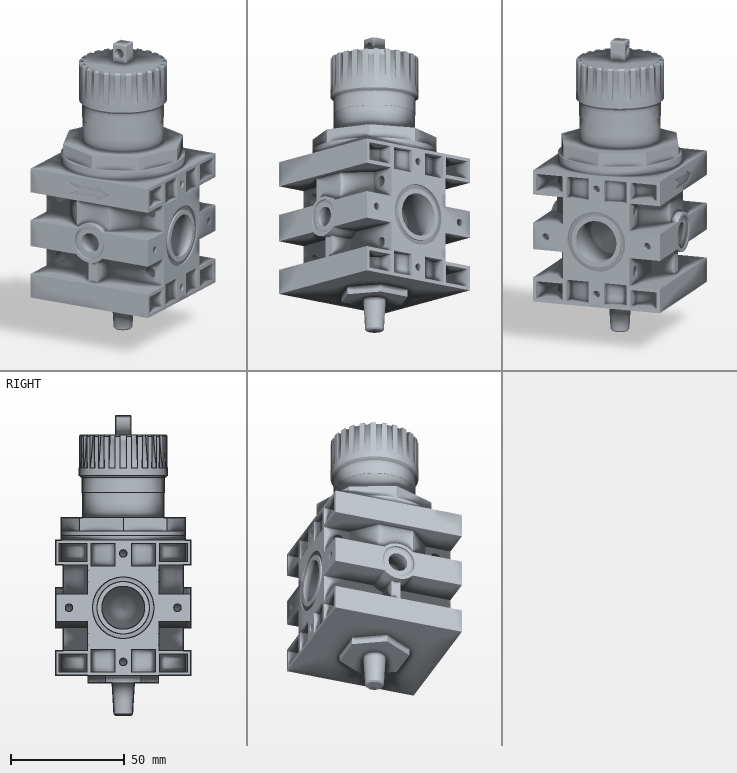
import cadquery as cq
import math

housing_size = 60.0
housing_bottom = 17.6
plate_thickness = 11.0
middle_plate_thickness = 12.1
web_width = 31.4
recessed_half_width = 26.7
hub_face_width = 16.3
hub_base_width = 36.2
fin_thickness = 4.4
core_diameter = 55.0
collar_height = 2.0

gauge_boss_diameter = 17.9
gauge_seat_diameter = 15.0
gauge_hole_diameter = 8.8
gauge_hole_depth = 10.6
main_port_diameter = 19.0
main_port_depth = 18.5
seal_groove_outer = 27.2
seal_groove_inner = 23.2
seat_depth = 0.9
drill_point_angle = 118

screw_hole_diameter = 3.3
screw_hole_depth = 5.3
screw_offset = 24.0
mounting_hole_diameter = 5.0
mounting_offset_x = 23.0
mounting_offset_z = 13.9

pocket_wall = 1.5
corner_pocket_width = 12.5
corner_pocket_height = 8.0
inner_pocket_width = 10.5
inner_pocket_height = 10.0
inner_pocket_start = 3.7
pocket_back_wall = 2.7

arrow_tail_x = -11.4
arrow_notch_x = -5.8
arrow_neck_x = 4.1
arrow_tip_x = 10.3
arrow_tail_half = 2.8
arrow_neck_half = 2.0
arrow_head_half = 3.2
arrow_depth = 0.4
arrow_drop = 0.5

nut_sides = 8
nut_height = 6.0
nut_flange_height = 2.0

bonnet_diameter = 36.1
bonnet_top = 98.5

knob_diameter = 39.0
skirt_diameter = 36.5
skirt_height = 6.6
knob_chamfer_height = 1.0
knob_top = 124.1
knob_edge_chamfer = 0.7
flute_count = 24
flute_width = 2.8
flute_bottom = 109.4
flute_top_radius = 17.4
flute_bottom_radius = 19.2
flute_overrun = 2.7

tang_width = 6.9
tang_top = 132.6
tang_fillet = 0.5
tang_hole_diameter = 4.5

plug_sides = 6
plug_across_flats = 27.0
plug_height = 3.3
nozzle_top_diameter = 10.0
nozzle_end_diameter = 8.4
nozzle_chamfer = 0.7

half_size = housing_size / 2
housing_top = housing_bottom + housing_size
port_z = housing_bottom + half_size
gap_height = (housing_size - 2 * plate_thickness - middle_plate_thickness) / 2
upper_gap_bottom = port_z + middle_plate_thickness / 2
lower_gap_bottom = housing_bottom + plate_thickness
collar_top = housing_top + collar_height
flange_top = collar_top + nut_flange_height
nut_top = flange_top + nut_height


def drilled_hole(diameter, depth):
    """Blind drill shape along +X from the origin, with a conical point."""
    radius = diameter / 2
    point_length = radius / math.tan(math.radians(drill_point_angle / 2))
    return (
        cq.Workplane("XY")
        .polyline([(0, 0), (0, radius), (depth, radius), (depth + point_length, 0)])
        .close()
        .revolve(360, (0, 0, 0), (1, 0, 0))
    )


def turned_copies(shape, angles):
    """Copies of a shape turned about the Z axis."""
    return [shape.rotate((0, 0, 0), (0, 0, 1), angle) for angle in angles]


def square_plate(bottom, height):
    return (
        cq.Workplane("XY")
        .workplane(offset=bottom)
        .rect(housing_size, housing_size)
        .extrude(height)
    )


def housing_blank():
    web = (
        cq.Workplane("XY")
        .workplane(offset=housing_bottom)
        .rect(housing_size, web_width)
        .extrude(housing_size)
    )
    collar = (
        cq.Workplane("XY")
        .workplane(offset=housing_top)
        .circle(core_diameter / 2)
        .extrude(collar_height)
    )
    blank = web.union(square_plate(housing_bottom, plate_thickness))
    blank = blank.union(square_plate(port_z - middle_plate_thickness / 2, middle_plate_thickness))
    blank = blank.union(square_plate(housing_top - plate_thickness, plate_thickness))
    return blank.union(collar)


def hub():
    """Eight-sided block filling the upper gap, sloping back to the web at its ends."""
    face = hub_face_width / 2
    base = hub_base_width / 2
    web = web_width / 2
    reach = recessed_half_width
    outline = [
        (-base, -web), (-face, -reach), (face, -reach), (base, -web),
        (base, web), (face, reach), (-face, reach), (-base, web),
    ]
    return (
        cq.Workplane("XY")
        .workplane(offset=upper_gap_bottom)
        .polyline(outline)
        .close()
        .extrude(gap_height)
    )


def fin():
    return (
        cq.Workplane("XY")
        .workplane(offset=lower_gap_bottom)
        .rect(fin_thickness, 2 * recessed_half_width)
        .extrude(gap_height)
    )


def gauge_bosses():
    return (
        cq.Workplane("XZ")
        .center(0, port_z)
        .circle(gauge_boss_diameter / 2)
        .extrude(half_size, both=True)
    )


def gauge_port():
    """Cutter for a gauge port entering the -X side, with a shallow seat."""
    seat = cq.Workplane("YZ").circle(gauge_seat_diameter / 2).extrude(seat_depth)
    hole = drilled_hole(gauge_hole_diameter, gauge_hole_depth)
    return seat.union(hole).translate((-half_size, 0, port_z))


def main_port():
    """Cutter for a main port entering the -X side, with a ring groove around it."""
    groove = (
        cq.Workplane("YZ")
        .circle(seal_groove_outer / 2)
        .circle(seal_groove_inner / 2)
        .extrude(seat_depth)
    )
    hole = drilled_hole(main_port_diameter, main_port_depth)
    return groove.union(hole).translate((-half_size, 0, port_z))


def screw_holes():
    """Cutters for the four blind screw holes around the main port on the -X side."""
    hole = drilled_hole(screw_hole_diameter, screw_hole_depth)
    places = [(screw_offset, 0), (-screw_offset, 0), (0, screw_offset), (0, -screw_offset)]
    return [hole.translate((-half_size, y, port_z + dz)) for y, dz in places]


def pocket(start_y, width, bottom, height):
    """Pocket in the -X side that leaves the round core and a thin wall at X = 0."""
    depth = half_size - pocket_back_wall / 2
    hollow = cq.Workplane("XY").box(depth, width, height, centered=False)
    hollow = hollow.translate((-half_size, start_y, bottom))
    core = cq.Workplane("XY").circle(core_diameter / 2).extrude(housing_top)
    return hollow.cut(core)


def pockets():
    """Cutters for the eight pockets of the -X side."""
    corner_start = half_size - pocket_wall - corner_pocket_width
    kinds = [
        (corner_start, corner_pocket_width, corner_pocket_height),
        (inner_pocket_start, inner_pocket_width, inner_pocket_height),
    ]
    cutters = []
    for start, width, height in kinds:
        upper_bottom = housing_top - pocket_wall - height
        lower_bottom = housing_bottom + pocket_wall
        for bottom in (upper_bottom, lower_bottom):
            for start_y in (start, -start - width):
                cutters.append(pocket(start_y, width, bottom, height))
    return cutters


def mounting_holes():
    places = [
        (x, port_z + dz)
        for x in (-mounting_offset_x, mounting_offset_x)
        for dz in (-mounting_offset_z, mounting_offset_z)
    ]
    return (
        cq.Workplane("XZ")
        .pushPoints(places)
        .circle(mounting_hole_diameter / 2)
        .extrude(half_size, both=True)
    )


def flow_arrow():
    """Cutter for the arrow sunk into the -Y edge of the top plate."""
    outline = [
        (arrow_tail_x, arrow_tail_half), (arrow_neck_x, arrow_neck_half),
        (arrow_neck_x, arrow_head_half), (arrow_tip_x, 0),
        (arrow_neck_x, -arrow_head_half), (arrow_neck_x, -arrow_neck_half),
        (arrow_tail_x, -arrow_tail_half), (arrow_notch_x, 0),
    ]
    arrow_z = housing_top - plate_thickness / 2 - arrow_drop
    return (
        cq.Workplane("XZ", origin=(0, -half_size, arrow_z))
        .polyline(outline)
        .close()
        .extrude(-arrow_depth)
    )


def make_housing():
    body = housing_blank().union(hub()).union(fin()).union(gauge_bosses())
    for cutter in [main_port(), *screw_holes(), *pockets()]:
        for side in turned_copies(cutter, (0, 180)):
            body = body.cut(side)
    for side in turned_copies(gauge_port(), (90, 270)):
        body = body.cut(side)
    return body.cut(mounting_holes()).cut(flow_arrow())


def make_nut():
    """Round flange with an octagon on it, bored for the bonnet."""
    flange = (
        cq.Workplane("XY")
        .workplane(offset=collar_top)
        .circle(core_diameter / 2)
        .extrude(nut_flange_height)
    )
    octagon = (
        cq.Workplane("XY")
        .workplane(offset=flange_top)
        .polygon(nut_sides, core_diameter)
        .extrude(nut_height)
    )
    bore = (
        cq.Workplane("XY")
        .workplane(offset=collar_top)
        .circle(bonnet_diameter / 2)
        .extrude(nut_top - collar_top)
    )
    return flange.union(octagon).cut(bore)


def make_bonnet():
    return (
        cq.Workplane("XY")
        .workplane(offset=collar_top)
        .circle(bonnet_diameter / 2)
        .extrude(bonnet_top - collar_top)
    )


def flute():
    """Cutter for a flute that gets shallower towards its lower end."""
    radius = knob_diameter / 2
    profile = [
        (flute_bottom_radius, flute_bottom),
        (flute_top_radius, knob_top),
        (radius + flute_overrun, knob_top),
        (radius + flute_overrun, flute_bottom),
    ]
    return cq.Workplane("XZ").polyline(profile).close().extrude(flute_width / 2, both=True)


def make_knob():
    radius = knob_diameter / 2
    skirt_top = bonnet_top + skirt_height
    profile = [
        (0, bonnet_top),
        (skirt_diameter / 2, bonnet_top),
        (skirt_diameter / 2, skirt_top),
        (radius, skirt_top + knob_chamfer_height),
        (radius, knob_top - knob_edge_chamfer),
        (radius - knob_edge_chamfer, knob_top),
        (0, knob_top),
    ]
    knob = cq.Workplane("XZ").polyline(profile).close().revolve(360, (0, 0, 0), (0, 1, 0))
    cutter = flute()
    for index in range(flute_count):
        knob = knob.cut(cutter.rotate((0, 0, 0), (0, 0, 1), index * 360 / flute_count))
    return knob


def make_tang():
    tang_height = tang_top - knob_top
    tang = (
        cq.Workplane("XY")
        .workplane(offset=knob_top)
        .rect(tang_width, tang_width)
        .extrude(tang_height)
        .edges("|Z or >Z")
        .fillet(tang_fillet)
    )
    hole = (
        cq.Workplane("XZ")
        .center(0, knob_top + tang_height / 2)
        .circle(tang_hole_diameter / 2)
        .extrude(tang_width, both=True)
    )
    return tang.cut(hole)


def make_plug():
    across_corners = plug_across_flats / math.cos(math.pi / plug_sides)
    return (
        cq.Workplane("XY")
        .workplane(offset=housing_bottom - plug_height)
        .transformed(rotate=(0, 0, 90))
        .polygon(plug_sides, across_corners)
        .extrude(plug_height)
    )


def make_nozzle():
    end_radius = nozzle_end_diameter / 2
    nozzle_top = housing_bottom - plug_height
    profile = [
        (0, 0),
        (end_radius - nozzle_chamfer, 0),
        (end_radius, nozzle_chamfer),
        (nozzle_top_diameter / 2, nozzle_top),
        (0, nozzle_top),
    ]
    return cq.Workplane("XZ").polyline(profile).close().revolve(360, (0, 0, 0), (0, 1, 0))


housing = make_housing()
nut = make_nut()
bonnet = make_bonnet()
knob = make_knob()
tang = make_tang()
plug = make_plug()
nozzle = make_nozzle()

result = cq.Compound.makeCompound([
    housing.val(),
    nut.val(),
    bonnet.val(),
    knob.val(),
    tang.val(),
    plug.val(),
    nozzle.val(),
])